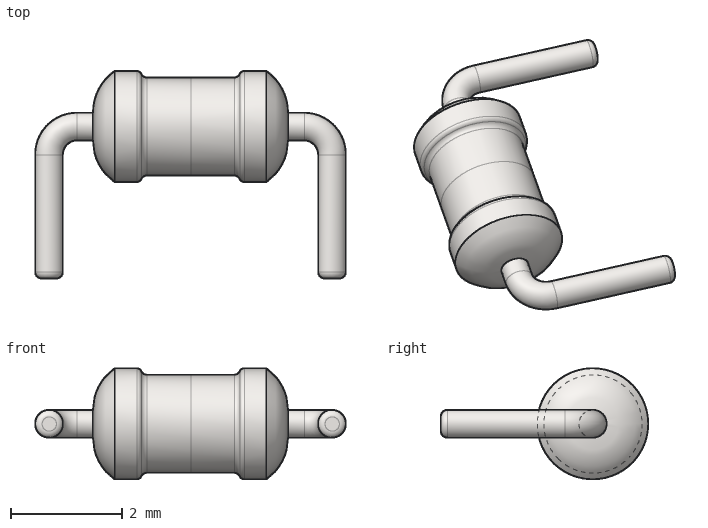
import cadquery as cq
import math

overall_length = 5.58
lead_diameter = 0.5
bend_radius = 0.5
lead_drop = 2.73
tip_fillet = 0.12

body_length = 3.505
cap_radius = 1.0
waist_radius = 0.88
dome_depth = 0.39
cap_band_length = 0.395
shoulder_length = 0.185
convex_share = 0.45

lead_radius = lead_diameter / 2
lead_x = overall_length / 2 - lead_radius
half_body = body_length / 2


def make_half_body():
    """Revolve the +X half of the body about the X axis."""
    dome_start = half_body - dome_depth
    shoulder_start = dome_start - cap_band_length
    shoulder_end = shoulder_start - shoulder_length

    dome_rise = cap_radius - lead_radius
    dome_radius = (dome_rise**2 + dome_depth**2) / (2 * dome_depth)
    dome_mid_angle = math.asin(dome_rise / dome_radius) / 2
    dome_mid = (
        half_body - dome_radius * (1 - math.cos(dome_mid_angle)),
        lead_radius + dome_radius * math.sin(dome_mid_angle),
    )

    shoulder_drop = cap_radius - waist_radius
    shoulder_mid = (
        shoulder_start - convex_share * shoulder_length,
        cap_radius - convex_share * shoulder_drop,
    )

    return (
        cq.Workplane("XY")
        .moveTo(0, 0)
        .lineTo(half_body, 0)
        .lineTo(half_body, lead_radius)
        .threePointArc(dome_mid, (dome_start, cap_radius))
        .lineTo(shoulder_start, cap_radius)
        .tangentArcPoint(shoulder_mid, relative=False)
        .tangentArcPoint((shoulder_end, waist_radius), relative=False)
        .lineTo(0, waist_radius)
        .close()
        .revolve(360, (0, 0, 0), (1, 0, 0))
    )


def make_lead():
    """Sweep the +X lead from the body centre, round its bend, to its tip."""
    bend_start_x = lead_x - bend_radius
    path = (
        cq.Workplane("XY")
        .lineTo(bend_start_x, 0)
        .tangentArcPoint((lead_x, -bend_radius), relative=False)
        .lineTo(lead_x, -lead_drop)
    )
    lead = cq.Workplane("YZ").circle(lead_radius).sweep(path)
    return lead.faces("<Y").edges().fillet(tip_fillet)


half_resistor = make_half_body().union(make_lead())
result = half_resistor.union(half_resistor.mirror("YZ"))